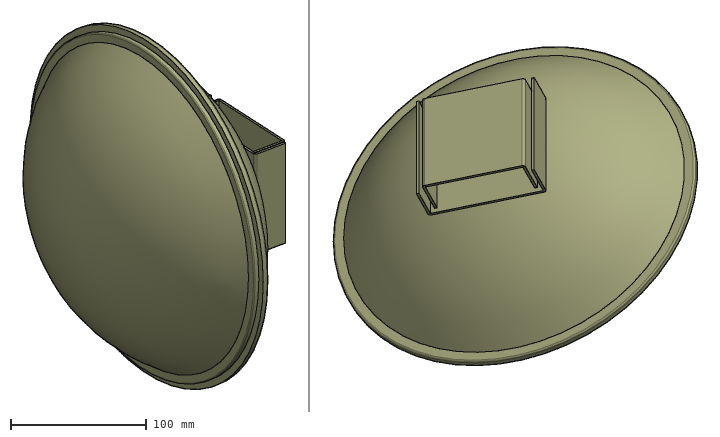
import cadquery as cq

flange_radius = 141.5
flange_back = 5.0
flange_edge_round = 1.5
ring_radius = 136.2
ring_front = -4.2
ring_edge_round = 0.8
front_dome_radius = 129.0
front_dome_apex = -75.5
rear_dome_radius = 133.0
rear_dome_apex = 68.2

sheet = 2.0
bend_radius = 2.0
bracket_gap = 4.0
inner_width = 80.0
inner_height = 80.0
inner_back = 98.8
inner_leg_end = 69.5
outer_width = inner_width + 2 * (bracket_gap + sheet)
outer_height = 85.0
outer_base = 65.7
outer_leg_end = 94.3


def dome(rim_radius, rim_y, apex_y):
    """Spherical cap about the Y axis, from its flat rim to its apex."""
    rise = apex_y - rim_y
    sphere_radius = (rim_radius**2 + rise**2) / (2 * abs(rise))
    center_y = apex_y - sphere_radius * rise / abs(rise)
    half_rim = rim_radius / 2
    half_y = center_y + (sphere_radius**2 - half_rim**2) ** 0.5 * rise / abs(rise)
    return (
        cq.Workplane("XY")
        .moveTo(0, rim_y)
        .lineTo(rim_radius, rim_y)
        .threePointArc((half_rim, half_y), (0, apex_y))
        .close()
        .revolve(360, (0, 0, 0), (0, 1, 0))
    )


def disc(radius, front_y, back_y):
    """Flat round plate about the Y axis."""
    return cq.Workplane("XZ", origin=(0, back_y, 0)).circle(radius).extrude(back_y - front_y)


def u_bracket(width, height, base_y, leg_end_y):
    """Bent sheet: a base at base_y with two legs along Y, extruded symmetrically in Z."""
    direction = 1 if leg_end_y > base_y else -1
    depth = abs(leg_end_y - base_y)
    outside = (
        cq.Workplane("XY")
        .box(width, depth, height)
        .translate((0, (base_y + leg_end_y) / 2, 0))
        .faces("<Y" if direction > 0 else ">Y")
        .edges("|Z")
        .fillet(bend_radius)
    )
    inside = (
        cq.Workplane("XY")
        .box(width - 2 * sheet, depth, height)
        .translate((0, (base_y + leg_end_y) / 2 + direction * sheet, 0))
    )
    return outside.cut(inside)


flange = disc(flange_radius, 0, flange_back).faces(">Y").edges().fillet(flange_edge_round)
ring = disc(ring_radius, ring_front, 0).faces("<Y").edges().fillet(ring_edge_round)
front_dome = dome(front_dome_radius, ring_front, front_dome_apex)
rear_dome = dome(rear_dome_radius, flange_back, rear_dome_apex)
fixed_bracket = u_bracket(outer_width, outer_height, outer_base, outer_leg_end)
housing = flange.union(ring).union(front_dome).union(rear_dome).union(fixed_bracket)

mounting_bracket = u_bracket(inner_width, inner_height, inner_back, inner_leg_end)

result = cq.Compound.makeCompound([housing.solids().val(), mounting_bracket.solids().val()])